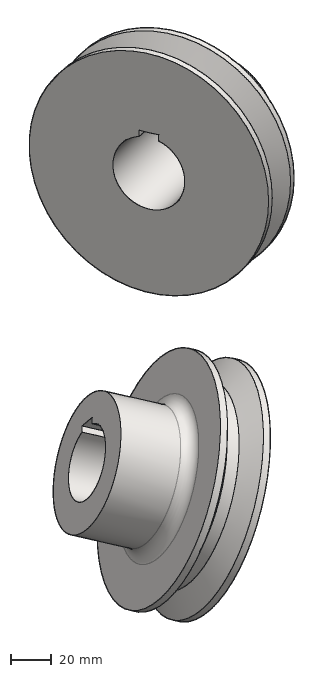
import cadquery as cq

rim_diameter = 132.41
groove_diameter = 105.93
hub_diameter = 72.83
bore_diameter = 39.72
overall_length = 67.54

rim_land = 3.97
groove_flank = 6.62
groove_floor = 6.62
rim_width = 2 * rim_land + 2 * groove_flank + groove_floor

hub_fillet = 6.62

keyway_width = 10.59
keyway_top = 22.51


def turned_body():
    """Grooved rim and hub, with the front face on Y = 0."""
    rim_radius = rim_diameter / 2
    groove_radius = groove_diameter / 2
    hub_radius = hub_diameter / 2
    floor_start = rim_land + groove_flank
    floor_end = floor_start + groove_floor
    profile = (
        cq.Workplane("XY")
        .lineTo(rim_radius, 0)
        .lineTo(rim_radius, rim_land)
        .lineTo(groove_radius, floor_start)
        .lineTo(groove_radius, floor_end)
        .lineTo(rim_radius, rim_width - rim_land)
        .lineTo(rim_radius, rim_width)
        .lineTo(hub_radius + hub_fillet, rim_width)
        .radiusArc((hub_radius, rim_width + hub_fillet), hub_fillet)
        .lineTo(hub_radius, overall_length)
        .lineTo(0, overall_length)
        .close()
    )
    return profile.revolve(360, (0, 0, 0), (0, 1, 0))


def keyed_bore():
    """Through bore with its keyway, as a solid to be cut away."""
    bore = cq.Workplane("XZ").circle(bore_diameter / 2).extrude(-overall_length)
    keyway = (
        cq.Workplane("XZ")
        .center(0, keyway_top / 2)
        .rect(keyway_width, keyway_top)
        .extrude(-overall_length)
    )
    return bore.union(keyway)


result = turned_body().cut(keyed_bore())